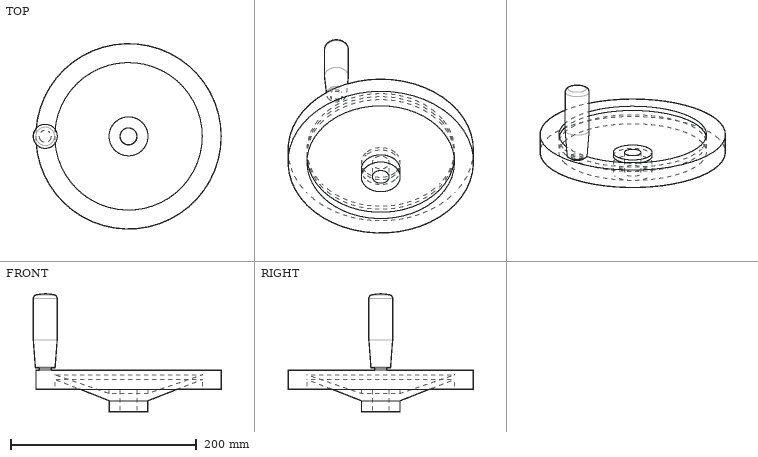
import cadquery as cq
import math

hub_shoulder_height = 12.0
hub_top_height = 24.0
rim_bottom_height = 24.5
rim_top_height = 45.0

wheel_radius = 100.0
rim_inner_radius = 79.5
hub_radius = 21.0
bore_radius = 9.0
web_height_at_hub = 20.0
web_edge_height = 40.0
web_edge_thickness = 5.0

handle_axis_x = -(wheel_radius + rim_inner_radius) / 2
handle_top_height = 127.5
handle_radius = 13.0
stem_radius = 6.5
stem_length = 2.5
grip_end_radius = 10.8
grip_end_round = 1.0
taper_top_height = 77.5
dome_radius = 40.0
crown_round = 4.0


def revolve_about_z(profile):
    """Turn a closed (radius, height) profile into a solid around the Z axis."""
    return profile.close().revolve(360, (0, 0, 0), (0, 1, 0))


def make_wheel():
    """Rim, conical web and bored hub; the web leaves a hollow below the rim."""
    web_edge_underside = web_edge_height - web_edge_thickness
    profile = (
        cq.Workplane("XZ")
        .moveTo(bore_radius, 0)
        .lineTo(hub_radius, 0)
        .lineTo(hub_radius, hub_shoulder_height)
        .lineTo(rim_inner_radius, web_edge_underside)
        .lineTo(rim_inner_radius, rim_bottom_height)
        .lineTo(wheel_radius, rim_bottom_height)
        .lineTo(wheel_radius, rim_top_height)
        .lineTo(rim_inner_radius, rim_top_height)
        .lineTo(rim_inner_radius, web_edge_height)
        .lineTo(hub_radius, web_height_at_hub)
        .lineTo(hub_radius, hub_top_height)
        .lineTo(bore_radius, hub_top_height)
    )
    return revolve_about_z(profile)


def make_handle():
    """Stem and tapered grip with a rounded, domed end."""
    grip_bottom_height = rim_top_height + stem_length

    round_centre_radius = handle_radius - crown_round
    tilt = math.asin(round_centre_radius / (dome_radius - crown_round))
    dome_centre_height = handle_top_height - dome_radius
    dome_edge_radius = dome_radius * math.sin(tilt)
    dome_edge_height = dome_centre_height + dome_radius * math.cos(tilt)
    round_start_height = dome_edge_height - crown_round * math.cos(tilt)

    profile = (
        cq.Workplane("XZ")
        .moveTo(0, rim_bottom_height)
        .lineTo(stem_radius, rim_bottom_height)
        .lineTo(stem_radius, grip_bottom_height)
        .lineTo(grip_end_radius - grip_end_round, grip_bottom_height)
        .tangentArcPoint((grip_end_radius, grip_bottom_height + grip_end_round), relative=False)
        .lineTo(handle_radius, taper_top_height)
        .lineTo(handle_radius, round_start_height)
        .tangentArcPoint((dome_edge_radius, dome_edge_height), relative=False)
        .tangentArcPoint((0, handle_top_height), relative=False)
    )
    return revolve_about_z(profile).translate((handle_axis_x, 0, 0))


result = make_wheel().union(make_handle())